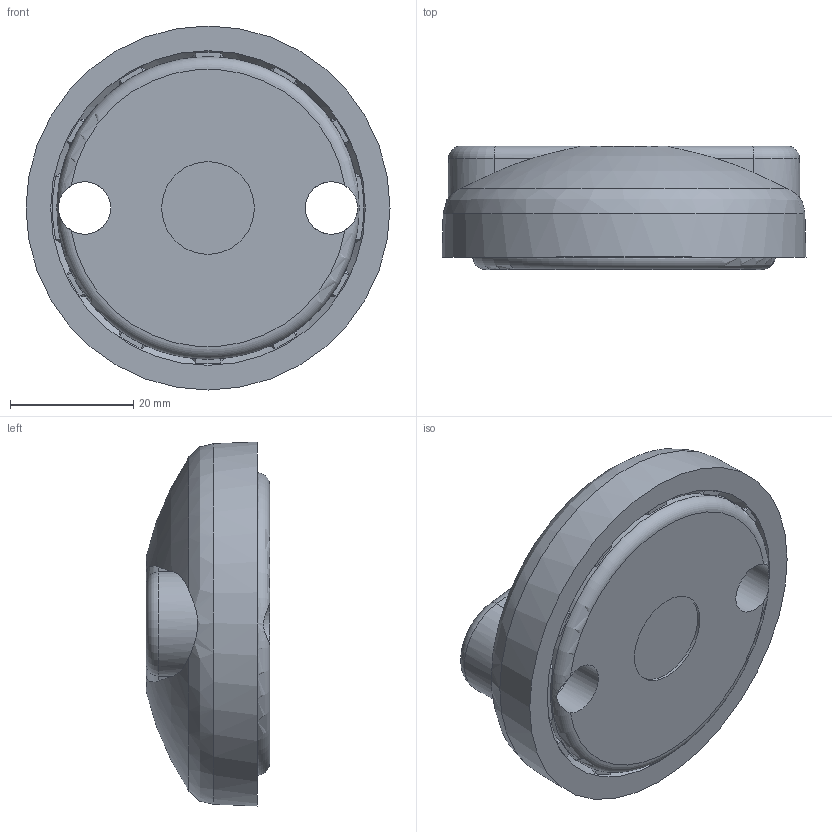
import cadquery as cq
import math

RIM_RADIUS = 29.5
RIM_DRAFT = 1.5
HOUSING_DEPTH = 18.0
DOME_RADIUS = 49.0
HUB_RADIUS = 11.0
SHOULDER_FILLET = 5.0

LOBE_RADIUS = 8.5
HOLE_OFFSET = 20.0
HOLE_DIAMETER = 8.5
BAR_FILLET = 2.0

INSERT_RADIUS = 24.5
INSERT_PROTRUSION = 2.0
SEAT_DEPTH = 4.0
INSERT_FILLET = 2.0
CENTRE_RECESS_DIAMETER = 15.0
CENTRE_RECESS_DEPTH = 0.5

MOUTH_RADIUS = 25.5
MOUTH_DEPTH = 1.0
LUG_RECESS = 0.25
LUG_COUNT = 12
LUG_WIDTH = 4.0
SIDE_LUG_WIDTH = 10.2
LUG_DRAFT = 40.0


def turned(outline):
    """Turn a closed (radius, Y) outline about the Y axis."""
    return outline.close().revolve(360, (0, 0, 0), (0, 1, 0))


def along_y(start):
    """Sketch plane at Y = start whose extrusions run toward +Y; local x is X, local y is -Z."""
    return cq.Workplane(cq.Plane(origin=(0, start, 0), xDir=(1, 0, 0), normal=(0, 1, 0)))


def dome_body():
    """Drafted rim and spherical dome with a rounded shoulder between them."""
    sphere_centre = HOUSING_DEPTH - math.sqrt(DOME_RADIUS**2 - HUB_RADIUS**2)
    draft = math.radians(RIM_DRAFT)

    def dome_height(radius):
        return sphere_centre + math.sqrt(DOME_RADIUS**2 - radius**2)

    offset = RIM_RADIUS * math.cos(draft) - sphere_centre * math.sin(draft)
    along_rim = math.sqrt(DOME_RADIUS**2 - offset**2)
    corner_radius = offset * math.cos(draft) - along_rim * math.sin(draft)
    corner_height = dome_height(corner_radius)

    middle_radius = (HUB_RADIUS + corner_radius) / 2
    blank = turned(
        cq.Workplane("XY")
        .lineTo(RIM_RADIUS, 0)
        .lineTo(corner_radius, corner_height)
        .threePointArc((middle_radius, dome_height(middle_radius)), (HUB_RADIUS, HOUSING_DEPTH))
        .lineTo(0, HOUSING_DEPTH)
    )
    return blank.edges(cq.selectors.RadiusNthSelector(1)).fillet(SHOULDER_FILLET)


def cross_bar():
    """Two round lobes joined by tangent lines to the wider hub."""
    lean = math.asin((HUB_RADIUS - LOBE_RADIUS) / HOLE_OFFSET)
    hub_x = HUB_RADIUS * math.sin(lean)
    hub_z = HUB_RADIUS * math.cos(lean)
    lobe_x = HOLE_OFFSET + LOBE_RADIUS * math.sin(lean)
    lobe_z = LOBE_RADIUS * math.cos(lean)
    tip_x = HOLE_OFFSET + LOBE_RADIUS
    return (
        along_y(SEAT_DEPTH)
        .moveTo(hub_x, hub_z)
        .lineTo(lobe_x, lobe_z)
        .threePointArc((tip_x, 0), (lobe_x, -lobe_z))
        .lineTo(hub_x, -hub_z)
        .threePointArc((0, -HUB_RADIUS), (-hub_x, -hub_z))
        .lineTo(-lobe_x, -lobe_z)
        .threePointArc((-tip_x, 0), (-lobe_x, lobe_z))
        .lineTo(-hub_x, hub_z)
        .threePointArc((0, HUB_RADIUS), (hub_x, hub_z))
        .close()
        .extrude(HOUSING_DEPTH - SEAT_DEPTH)
        .faces(">Y")
        .edges()
        .fillet(BAR_FILLET)
    )


def through_holes():
    return (
        along_y(-INSERT_PROTRUSION)
        .pushPoints([(-HOLE_OFFSET, 0), (HOLE_OFFSET, 0)])
        .circle(HOLE_DIAMETER / 2)
        .extrude(INSERT_PROTRUSION + HOUSING_DEPTH)
    )


def seat():
    """Cavity for the insert, flared at its mouth."""
    return turned(
        cq.Workplane("XY")
        .lineTo(MOUTH_RADIUS, 0)
        .lineTo(INSERT_RADIUS, MOUTH_DEPTH)
        .lineTo(INSERT_RADIUS, SEAT_DEPTH)
        .lineTo(0, SEAT_DEPTH)
    )


def lug(index):
    """One drafted block on the flare; it widens toward its foot."""
    beside_hole = index % (LUG_COUNT // 2) == 0
    width = SIDE_LUG_WIDTH if beside_hole else LUG_WIDTH
    height = MOUTH_DEPTH - LUG_RECESS
    block = (
        along_y(LUG_RECESS)
        .transformed(rotate=(0, 0, index * 360 / LUG_COUNT))
        .center(INSERT_RADIUS, 0)
        .rect(2 * LUG_WIDTH, width)
        .extrude(height, taper=-LUG_DRAFT)
    )
    bore = along_y(LUG_RECESS).circle(INSERT_RADIUS).extrude(height)
    return block.cut(bore)


def insert_body():
    disc = turned(
        cq.Workplane("XY")
        .moveTo(0, SEAT_DEPTH)
        .lineTo(INSERT_RADIUS, SEAT_DEPTH)
        .lineTo(INSERT_RADIUS, INSERT_FILLET - INSERT_PROTRUSION)
        .radiusArc((INSERT_RADIUS - INSERT_FILLET, -INSERT_PROTRUSION), INSERT_FILLET)
        .lineTo(0, -INSERT_PROTRUSION)
    )
    recess = along_y(-INSERT_PROTRUSION).circle(CENTRE_RECESS_DIAMETER / 2).extrude(CENTRE_RECESS_DEPTH)
    return disc.cut(recess).cut(through_holes())


def housing_body():
    cavity = seat()
    for index in range(LUG_COUNT):
        cavity = cavity.cut(lug(index))
    return dome_body().union(cross_bar()).cut(cavity).cut(through_holes())


housing = housing_body()
insert = insert_body()

result = cq.Compound.makeCompound([housing.val(), insert.val()])